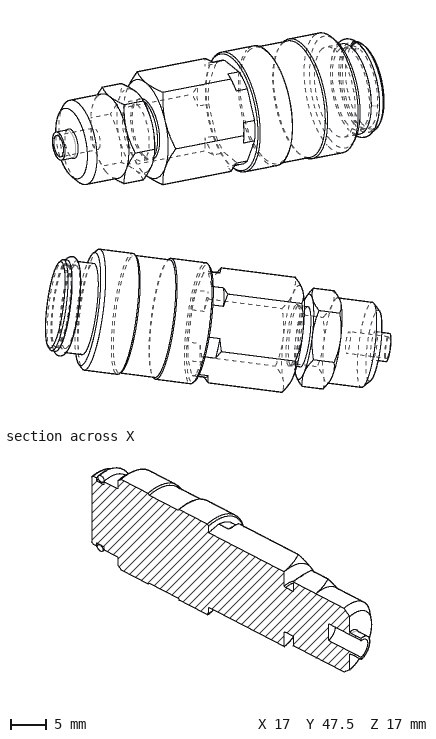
import cadquery as cq
import math

total_length = 47.5

nozzle_radius = 2.0
nozzle_bore_radius = 1.5
nozzle_bore_depth = 5.7
nozzle_length = 2.0
nozzle_root_length = 0.35
root_flare = 0.1

cap_radius = 6.0
cap_chamfer = 1.0
cap_hex_start = 7.95
cap_hex_end = 11.95
cap_hex_flats = 2 * cap_radius

neck_radius = 4.25
neck_flare_length = 0.3

main_hex_start = 13.55
main_hex_flats = 14.0
main_hex_relief_start = 25.15
relief_radius = 7.35
hex_chamfer_angle = 30.0

sleeve_start = 26.85
sleeve_end = 42.85
sleeve_radius = 8.5
sleeve_front_chamfer = 0.25
sleeve_rear_chamfer = 0.55
band_start = 32.2
band_end = 37.3
band_radius = 8.25
band_front_taper = 0.15
band_rear_taper = 0.25

spigot_radius = 6.4
spigot_chamfer = 0.35
ring_centre = 46.0
ring_wire_radius = 0.55
ring_outer_radius = 7.0
ring_gap = 0.4
groove_width = 1.3
ring_centre_radius = ring_outer_radius - ring_wire_radius
groove_radius = ring_centre_radius - ring_wire_radius


def revolve_profile(points):
    """Revolve a closed (radius, y) outline about the Y axis."""
    return cq.Workplane("XY").polyline(points).close().revolve(360, (0, 0), (0, 1))


def cylinder(radius, start, end):
    return revolve_profile([(0, start), (radius, start), (radius, end), (0, end)])


def hex_prism(flats, start, end):
    """Plain hexagon with two flats facing +/-Z and corners on +/-X."""
    corner_radius = flats / math.sqrt(3)
    return (
        cq.Workplane("XZ", origin=(0, start, 0))
        .polygon(6, 2 * corner_radius)
        .extrude(start - end)
    )


def chamfered_hex(flats, start, end, start_radius, end_radius):
    """Hexagon cut at each end by a cone that begins at the given radius."""
    corner_radius = flats / math.sqrt(3)
    slope = math.tan(math.radians(hex_chamfer_angle))
    envelope = revolve_profile([
        (0, start),
        (start_radius, start),
        (corner_radius, start + slope * (corner_radius - start_radius)),
        (corner_radius, end - slope * (corner_radius - end_radius)),
        (end_radius, end),
        (0, end),
    ])
    return hex_prism(flats, start, end).intersect(envelope)


def make_nozzle():
    root_radius = nozzle_radius + root_flare
    return revolve_profile([
        (0, 0),
        (nozzle_radius, 0),
        (nozzle_radius, nozzle_length - nozzle_root_length),
        (root_radius, nozzle_length),
        (0, nozzle_length),
    ])


def make_cap_nut():
    barrel = revolve_profile([
        (0, nozzle_length),
        (cap_radius - cap_chamfer, nozzle_length),
        (cap_radius, nozzle_length + cap_chamfer),
        (cap_radius, cap_hex_start),
        (0, cap_hex_start),
    ])
    return barrel.union(chamfered_hex(cap_hex_flats, cap_hex_start, cap_hex_end, cap_radius, cap_radius))


def make_neck():
    return revolve_profile([
        (0, cap_hex_end),
        (neck_radius, cap_hex_end),
        (neck_radius, main_hex_start - neck_flare_length),
        (neck_radius + root_flare, main_hex_start),
        (0, main_hex_start),
    ])


def make_main_hex():
    hexagon = chamfered_hex(
        main_hex_flats, main_hex_start, main_hex_relief_start, main_hex_flats / 2, relief_radius
    )
    turned_end = hex_prism(main_hex_flats, main_hex_relief_start, sleeve_start).intersect(
        cylinder(relief_radius, main_hex_relief_start, sleeve_start)
    )
    return hexagon.union(turned_end)


def make_sleeve():
    return revolve_profile([
        (0, sleeve_start),
        (sleeve_radius - sleeve_front_chamfer, sleeve_start),
        (sleeve_radius, sleeve_start + sleeve_front_chamfer),
        (sleeve_radius, band_start - band_front_taper),
        (band_radius, band_start),
        (band_radius, band_end),
        (sleeve_radius, band_end + band_rear_taper),
        (sleeve_radius, sleeve_end - sleeve_rear_chamfer),
        (sleeve_radius - sleeve_rear_chamfer, sleeve_end),
        (0, sleeve_end),
    ])


def make_spigot():
    groove_start = ring_centre - groove_width / 2
    groove_end = ring_centre + groove_width / 2
    return revolve_profile([
        (0, sleeve_end),
        (spigot_radius, sleeve_end),
        (spigot_radius, groove_start),
        (groove_radius, groove_start),
        (groove_radius, groove_end),
        (spigot_radius, groove_end),
        (spigot_radius, total_length - spigot_chamfer),
        (spigot_radius - spigot_chamfer, total_length),
        (0, total_length),
    ])


def make_coupling():
    body = make_nozzle()
    for section in (make_cap_nut(), make_neck(), make_main_hex(), make_sleeve(), make_spigot()):
        body = body.union(section)
    return body.cut(cylinder(nozzle_bore_radius, 0, nozzle_bore_depth))


def make_snap_ring():
    """Round-wire ring seated on the groove floor, split at the top (+Z)."""
    ring = (
        cq.Workplane("XY")
        .center(ring_centre_radius, ring_centre)
        .circle(ring_wire_radius)
        .revolve(360, (-ring_centre_radius, 0), (-ring_centre_radius, 1))
    )
    split = (
        cq.Workplane("XY", origin=(0, ring_centre, 0))
        .rect(ring_gap, 2 * groove_width)
        .extrude(ring_outer_radius + ring_wire_radius)
    )
    return ring.cut(split)


coupling = make_coupling()
snap_ring = make_snap_ring()

result = cq.Compound.makeCompound([coupling.val(), snap_ring.val()])